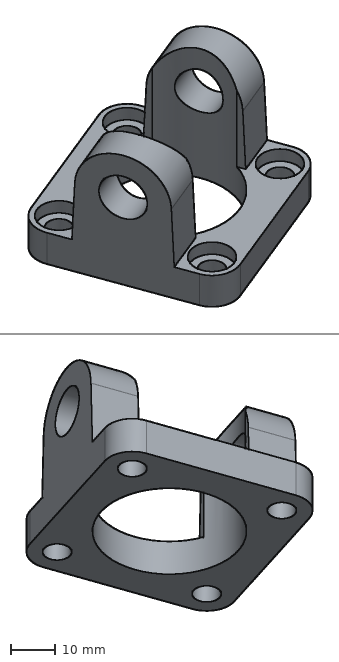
import cadquery as cq
import math

side = 52.0
base_height = 9.0
corner_radius = 7.0
bore_diameter = 35.0

hole_spacing = 38.0
hole_diameter = 6.6
counterbore_diameter = 11.0
counterbore_depth = 3.5

total_height = 37.0
lug_radius = 12.0
lug_thickness = 12.0
pivot_diameter = 12.0
flank_angle = math.radians(2.5)
pivot_height = total_height - lug_radius


def make_base():
    """Square plate with rounded vertical corners."""
    plate = cq.Workplane("XY").box(side, side, base_height, centered=(True, True, False))
    return plate.edges("|Z").fillet(corner_radius)


def make_lug(outer_y):
    """Round-topped lug with tapered flanks, extruded toward +Y from the base plane up."""
    tangent_x = lug_radius * math.cos(flank_angle)
    tangent_z = pivot_height + lug_radius * math.sin(flank_angle)
    foot_x = tangent_x + (tangent_z - base_height) * math.tan(flank_angle)
    return (
        cq.Workplane("XZ", origin=(0, outer_y, 0))
        .moveTo(-foot_x, 0)
        .lineTo(foot_x, 0)
        .lineTo(foot_x, base_height)
        .lineTo(tangent_x, tangent_z)
        .threePointArc((0, total_height), (-tangent_x, tangent_z))
        .lineTo(-foot_x, base_height)
        .close()
        .extrude(-lug_thickness)
    )


body = make_base()
for lug_start in (-side / 2, side / 2 - lug_thickness):
    body = body.union(make_lug(lug_start))

bore = cq.Workplane("XY").circle(bore_diameter / 2).extrude(total_height)

pivot = (
    cq.Workplane("XZ", origin=(0, 0, pivot_height))
    .circle(pivot_diameter / 2)
    .extrude(side / 2, both=True)
)

body = body.cut(bore).cut(pivot)

result = (
    body.cut(
        cq.Workplane("XY")
        .rect(hole_spacing, hole_spacing, forConstruction=True)
        .vertices()
        .circle(hole_diameter / 2)
        .extrude(base_height)
    )
    .cut(
        cq.Workplane("XY", origin=(0, 0, base_height - counterbore_depth))
        .rect(hole_spacing, hole_spacing, forConstruction=True)
        .vertices()
        .circle(counterbore_diameter / 2)
        .extrude(counterbore_depth)
    )
)